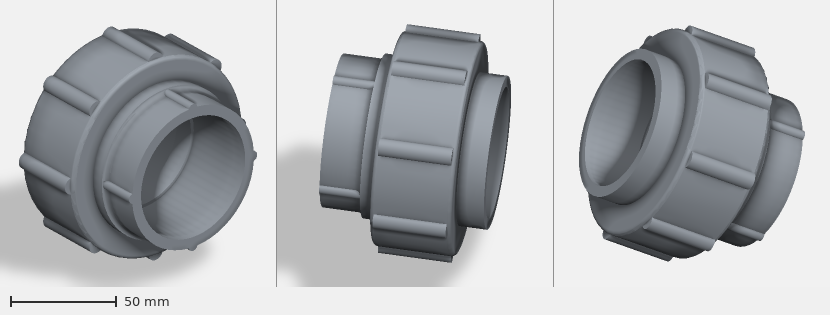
import cadquery as cq

length = 79.0
nut_start = 13.3
nut_end = 52.4
collar_end = 59.2

pipe_diameter = 73.7
nut_diameter = 103.0
nut_edge_radius = 2.0
collar_diameter = 78.9
tail_fillet_radius = 2.6

nut_rib_count = 8
nut_rib_radius = 4.4
nut_rib_tip_radius = 54.8

tail_rib_count = 4
tail_rib_radius = 2.6
tail_rib_tip_radius = 38.8

bore_diameter = 59.5
socket_diameter = 63.0
spigot_socket_depth = 29.2
tail_socket_depth = 39.1


def cylinder(start, end, diameter):
    """Solid cylinder on the X axis between two positions."""
    return cq.Workplane("YZ", origin=(start, 0, 0)).circle(diameter / 2).extrude(end - start)


def ribs(start, end, count, radius, tip_radius):
    """Round ribs parallel to X, evenly spaced around the axis."""
    return (
        cq.Workplane("YZ", origin=(start, 0, 0))
        .polarArray(tip_radius - radius, 0, 360, count)
        .circle(radius)
        .extrude(end - start)
    )


def tail():
    """Revolved tail with a concave fillet running up to the collar face."""
    pipe_radius = pipe_diameter / 2
    root_radius = pipe_radius + tail_fillet_radius
    arc_offset = tail_fillet_radius * (1 - 0.5**0.5)
    return (
        cq.Workplane("XY")
        .moveTo(nut_end, 0)
        .lineTo(nut_end, root_radius)
        .lineTo(collar_end, root_radius)
        .threePointArc(
            (collar_end + arc_offset, pipe_radius + arc_offset),
            (collar_end + tail_fillet_radius, pipe_radius),
        )
        .lineTo(length, pipe_radius)
        .lineTo(length, 0)
        .close()
        .revolve(360, (0, 0, 0), (1, 0, 0))
    )


spigot = cylinder(0, nut_start, pipe_diameter)
collar = cylinder(nut_end, collar_end, collar_diameter)

nut = cylinder(nut_start, nut_end, nut_diameter).edges().fillet(nut_edge_radius)
nut_ribs = ribs(
    nut_start + nut_edge_radius,
    nut_end - nut_edge_radius,
    nut_rib_count,
    nut_rib_radius,
    nut_rib_tip_radius,
)
tail_ribs = ribs(collar_end, length, tail_rib_count, tail_rib_radius, tail_rib_tip_radius)

body = spigot.union(nut).union(nut_ribs).union(collar).union(tail()).union(tail_ribs)

result = (
    body.cut(cylinder(0, length, bore_diameter))
    .cut(cylinder(0, spigot_socket_depth, socket_diameter))
    .cut(cylinder(length - tail_socket_depth, length, socket_diameter))
)